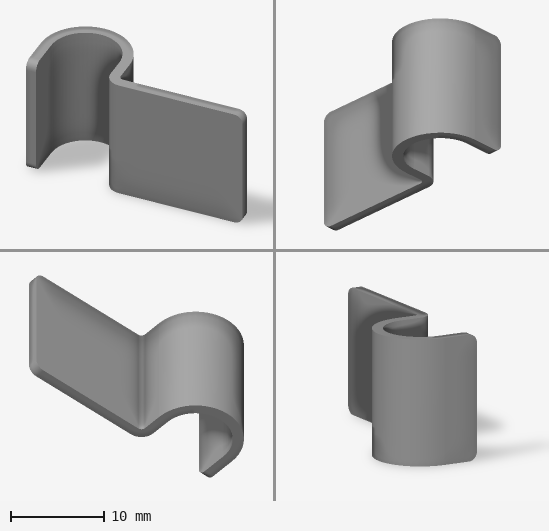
import cadquery as cq
import math

length = 25.4
width = 14.0
thickness = 1.2
loop_inner_radius = 4.0
leg_height = 4.01
bend_inner_radius = 0.5
corner_radius = 1.0

loop_outer_radius = loop_inner_radius + thickness
bend_outer_radius = bend_inner_radius + thickness
bend_x = loop_outer_radius + bend_inner_radius
tab_end_x = length - loop_outer_radius
diagonal = math.sqrt(0.5)


def bend_midpoint(radius):
    """Middle of the quarter bend, on its lower left side."""
    return (bend_x - radius * diagonal, bend_outer_radius - radius * diagonal)


strip = (
    cq.Workplane("XY")
    .moveTo(-loop_outer_radius, 0)
    .lineTo(-loop_outer_radius, leg_height)
    .threePointArc((0, leg_height + loop_outer_radius), (loop_outer_radius, leg_height))
    .lineTo(loop_outer_radius, bend_outer_radius)
    .threePointArc(bend_midpoint(bend_inner_radius), (bend_x, thickness))
    .lineTo(tab_end_x, thickness)
    .lineTo(tab_end_x, 0)
    .lineTo(bend_x, 0)
    .threePointArc(bend_midpoint(bend_outer_radius), (loop_inner_radius, bend_outer_radius))
    .lineTo(loop_inner_radius, leg_height)
    .threePointArc((0, leg_height + loop_inner_radius), (-loop_inner_radius, leg_height))
    .lineTo(-loop_inner_radius, 0)
    .close()
    .extrude(width)
)

strip = strip.faces(">X").edges("|Y").fillet(corner_radius)
free_end_corners = strip.edges("|X").edges("<X").edges("<Y")
result = free_end_corners.fillet(corner_radius)